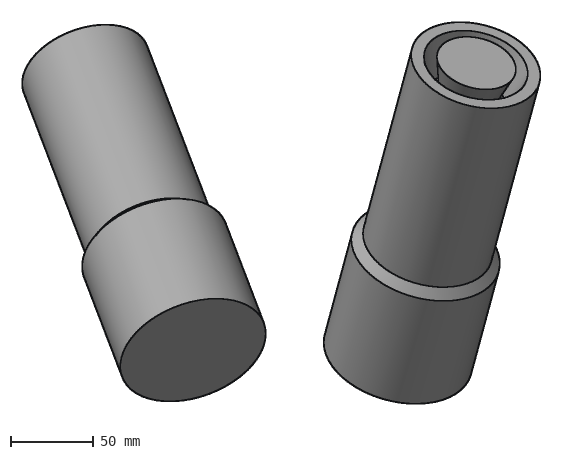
import cadquery as cq

total_length = 234.3
core_protrusion = 1.6
shoulder_start = 145.5
recess_depth = 28.0

head_diameter = 92.5
head_radius = head_diameter / 2
barrel_radius = 40.3
recess_mouth_radius = 32.3
core_radius = 24.5

shoulder_end = shoulder_start + head_radius - barrel_radius

recess_floor = core_protrusion + recess_depth
recess_gap = recess_mouth_radius - core_radius
recess_floor_radius = core_radius
core_root_radius = recess_floor_radius - recess_gap

profile = (
    cq.Workplane("XY")
    .moveTo(0, 0)
    .lineTo(0, core_radius)
    .lineTo(recess_floor, core_root_radius)
    .lineTo(recess_floor, recess_floor_radius)
    .lineTo(core_protrusion, recess_mouth_radius)
    .lineTo(core_protrusion, barrel_radius)
    .lineTo(shoulder_start, barrel_radius)
    .lineTo(shoulder_end, head_radius)
    .lineTo(total_length, head_radius)
    .lineTo(total_length, 0)
    .close()
)

result = profile.revolve(360, (0, 0, 0), (1, 0, 0))